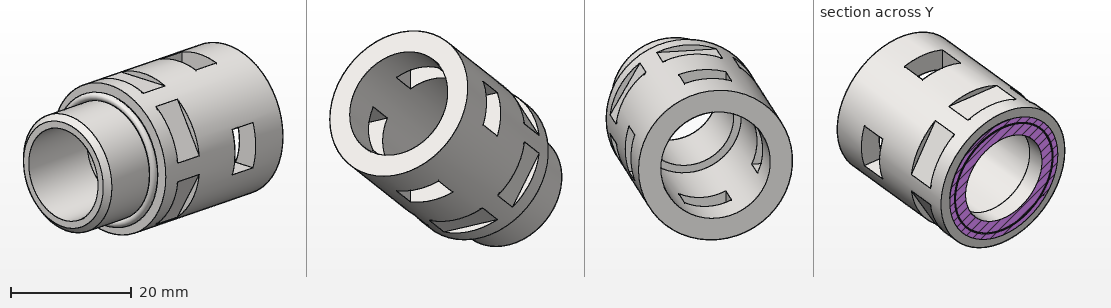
import cadquery as cq

total_length = 39.0
body_diameter = 26.0
bore_diameter = 15.9

spigot_diameter = 20.35
spigot_length = 10.95
spigot_chamfer = 1.0

ring_outer_diameter = 23.1
ring_section_radius = 0.7
ring_embedding = 0.05

flat_count = 6
across_flats = 24.0
flats_start = 13.95
flats_length = 5.1

socket_diameter = 18.5
socket_start = flats_start

window_count = 4
window_start = 27.55
window_length = 4.9
window_width = 7.95


def cylinder(diameter, start, length):
    """Solid cylinder on the Y axis from start to start + length."""
    return cq.Workplane("XZ", origin=(0, start, 0)).circle(diameter / 2).extrude(-length)


def box_on_axis(inner_height, width, start, length):
    """Box above the Y axis, from inner_height upward to beyond the body surface."""
    corner = (-width / 2, start, inner_height)
    return cq.Workplane("XY").box(width, length, body_diameter, centered=False).translate(corner)


def cut_around(part, cutter, count):
    """Cut equally spaced copies of cutter around the Y axis."""
    for index in range(count):
        part = part.cut(cutter.rotate((0, 0, 0), (0, 1, 0), index * 360 / count))
    return part


def sealing_ring():
    """Round ring about the Y axis, slightly embedded in the spigot and the shoulder."""
    centre_radius = ring_outer_diameter / 2 - ring_section_radius
    centre_y = spigot_length - ring_section_radius + ring_embedding
    section = cq.Workplane("XY").center(centre_radius, centre_y).circle(ring_section_radius)
    return section.revolve(360, (-centre_radius, 0, 0), (-centre_radius, 1, 0))


spigot = cylinder(spigot_diameter, 0, spigot_length).faces("<Y").chamfer(spigot_chamfer)
body = cylinder(body_diameter, spigot_length, total_length - spigot_length)
sleeve = body.union(spigot).union(sealing_ring())
sleeve = sleeve.cut(cylinder(bore_diameter, 0, total_length))
sleeve = sleeve.cut(cylinder(socket_diameter, socket_start, total_length - socket_start))

wrench_flat = box_on_axis(across_flats / 2, body_diameter, flats_start, flats_length)
sleeve = cut_around(sleeve, wrench_flat, flat_count)

window = box_on_axis(0, window_width, window_start, window_length)
result = cut_around(sleeve, window, window_count)